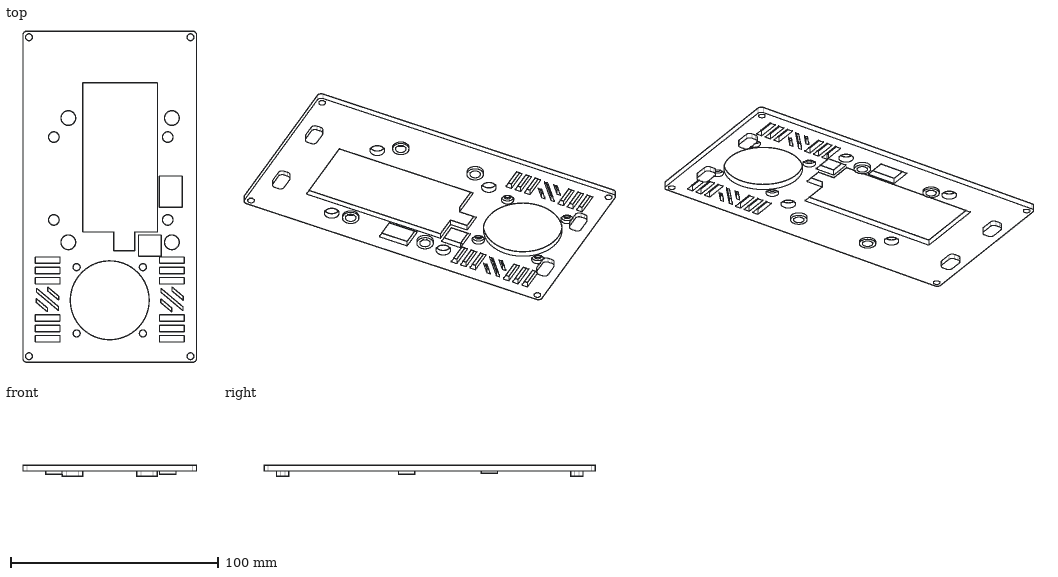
import cadquery as cq
import math

PLATE_WIDTH = 84.0
PLATE_LENGTH = 160.0
PLATE_THICKNESS = 3.0
PLATE_CORNER_RADIUS = 2.0

CORNER_HOLE_DIAMETER = 3.2
CORNER_HOLE_INSET = 3.0

BLOCK_WIDTH = 10.0
BLOCK_LENGTH = 6.0
BLOCK_HEIGHT = 2.5
BLOCK_CORNER_RADIUS = 2.0
BLOCK_SPACING_X = 36.0
BLOCK_SPACING_Y = 142.0

WINDOW_WIDTH = 36.0
WINDOW_LENGTH = 72.0
WINDOW_X = 5.0
WINDOW_Y = 19.0
NOTCH_WIDTH = 10.0
NOTCH_DEPTH = 9.0
NOTCH_X = 7.0

SWITCH_WIDTH = 11.0
SWITCH_LENGTH = 15.0
SWITCH_X = 29.5
SWITCH_Y = 2.5
SOCKET_WIDTH = 10.8
SOCKET_LENGTH = 10.2
SOCKET_X = 19.4
SOCKET_Y = -23.6

LARGE_HOLE_DIAMETER = 7.0
LARGE_HOLE_SPACING_X = 50.0
LARGE_HOLE_SPACING_Y = 60.0
LARGE_HOLE_CENTER_Y = 8.0

BOSS_HOLE_DIAMETER = 5.0
BOSS_DIAMETER = 8.0
BOSS_SPACING_X = 55.0
BOSS_SPACING_Y = 40.0
BOSS_CENTER_X = 0.5
BOSS_CENTER_Y = 8.8
UPPER_BOSS_HEIGHT = 1.0
LOWER_BOSS_HEIGHT = 1.5

FAN_Y = -50.0
FAN_DIAMETER = 38.0
FAN_HOLE_DIAMETER = 3.3
FAN_HOLE_SPACING = 32.0
FAN_COUNTERBORE_DIAMETER = 6.0
FAN_COUNTERBORE_DEPTH = 2.0

VENT_X = 30.0
VENT_Y = -49.6
SLOT_WIDTH = 11.75
SLOT_LENGTH = 3.0
SLOT_PITCH = 5.0
SLOTS_PER_ROW = 3
FIRST_SLOT_OFFSET = 9.0
SLANT_ANGLE = 40.0
SLANT_SIDE_HEIGHT = 1.8
LONG_SLANT_WIDTH = 10.5
SHORT_SLANT_WIDTH = 5.25
SHORT_SLANT_OFFSET_X = 2.75
SHORT_SLANT_OFFSET_Y = 2.8


def grid(spacing_x, spacing_y, center_x=0.0, center_y=0.0):
    """Four points at the corners of a rectangle."""
    return [
        (center_x + side_x * spacing_x / 2, center_y + side_y * spacing_y / 2)
        for side_x in (-1, 1)
        for side_y in (-1, 1)
    ]


def round_cutters(points, diameter):
    """Round cutters through the plate and everything below it."""
    depth = PLATE_THICKNESS + BLOCK_HEIGHT
    base = cq.Workplane("XY").workplane(offset=-BLOCK_HEIGHT)
    return base.pushPoints(points).circle(diameter / 2).extrude(depth)


def rectangular_cutters(points, width, length):
    """Rectangular cutters through the plate."""
    return cq.Workplane("XY").pushPoints(points).rect(width, length).extrude(PLATE_THICKNESS)


def make_plate():
    plate = cq.Workplane("XY").rect(PLATE_WIDTH, PLATE_LENGTH).extrude(PLATE_THICKNESS)
    return plate.edges("|Z").fillet(PLATE_CORNER_RADIUS)


def make_blocks():
    points = grid(BLOCK_SPACING_X, BLOCK_SPACING_Y)
    blocks = cq.Workplane("XY").pushPoints(points).rect(BLOCK_WIDTH, BLOCK_LENGTH).extrude(-BLOCK_HEIGHT)
    return blocks.edges("|Z").fillet(BLOCK_CORNER_RADIUS)


def make_bosses(center_y, height):
    points = [(BOSS_CENTER_X + side * BOSS_SPACING_X / 2, center_y) for side in (-1, 1)]
    return cq.Workplane("XY").pushPoints(points).circle(BOSS_DIAMETER / 2).extrude(-height)


def cut_window(body):
    window = rectangular_cutters([(WINDOW_X, WINDOW_Y)], WINDOW_WIDTH, WINDOW_LENGTH)
    notch_y = WINDOW_Y - WINDOW_LENGTH / 2 - NOTCH_DEPTH / 2
    notch = rectangular_cutters([(NOTCH_X, notch_y)], NOTCH_WIDTH, NOTCH_DEPTH)
    return body.cut(window).cut(notch)


def cut_side_openings(body):
    switch = rectangular_cutters([(SWITCH_X, SWITCH_Y)], SWITCH_WIDTH, SWITCH_LENGTH)
    socket = rectangular_cutters([(SOCKET_X, SOCKET_Y)], SOCKET_WIDTH, SOCKET_LENGTH)
    return body.cut(switch).cut(socket)


def cut_round_holes(body):
    corner_points = grid(PLATE_WIDTH - 2 * CORNER_HOLE_INSET, PLATE_LENGTH - 2 * CORNER_HOLE_INSET)
    large_points = grid(LARGE_HOLE_SPACING_X, LARGE_HOLE_SPACING_Y, WINDOW_X, LARGE_HOLE_CENTER_Y)
    boss_points = grid(BOSS_SPACING_X, BOSS_SPACING_Y, BOSS_CENTER_X, BOSS_CENTER_Y)
    body = body.cut(round_cutters(corner_points, CORNER_HOLE_DIAMETER))
    body = body.cut(round_cutters(large_points, LARGE_HOLE_DIAMETER))
    return body.cut(round_cutters(boss_points, BOSS_HOLE_DIAMETER))


def cut_fan(body):
    screw_points = grid(FAN_HOLE_SPACING, FAN_HOLE_SPACING, 0.0, FAN_Y)
    body = body.cut(round_cutters([(0.0, FAN_Y)], FAN_DIAMETER))
    body = body.cut(round_cutters(screw_points, FAN_HOLE_DIAMETER))
    counterbores = cq.Workplane("XY").pushPoints(screw_points).circle(FAN_COUNTERBORE_DIAMETER / 2)
    return body.cut(counterbores.extrude(FAN_COUNTERBORE_DEPTH))


def slanted_cutter(center_x, center_y, width):
    """Parallelogram with upright ends, falling towards +X."""
    half_width = width / 2
    half_drop = half_width * math.tan(math.radians(SLANT_ANGLE))
    half_side = SLANT_SIDE_HEIGHT / 2
    outline = [
        (center_x - half_width, center_y + half_drop + half_side),
        (center_x + half_width, center_y - half_drop + half_side),
        (center_x + half_width, center_y - half_drop - half_side),
        (center_x - half_width, center_y + half_drop - half_side),
    ]
    return cq.Workplane("XY").polyline(outline).close().extrude(PLATE_THICKNESS)


def cut_vents(body, vent_x):
    slot_offsets = [FIRST_SLOT_OFFSET + row * SLOT_PITCH for row in range(SLOTS_PER_ROW)]
    slot_points = [(vent_x, VENT_Y + side * offset) for side in (-1, 1) for offset in slot_offsets]
    body = body.cut(rectangular_cutters(slot_points, SLOT_WIDTH, SLOT_LENGTH))
    body = body.cut(slanted_cutter(vent_x, VENT_Y, LONG_SLANT_WIDTH))
    for side in (-1, 1):
        slant_x = vent_x + side * SHORT_SLANT_OFFSET_X
        slant_y = VENT_Y + side * SHORT_SLANT_OFFSET_Y
        body = body.cut(slanted_cutter(slant_x, slant_y, SHORT_SLANT_WIDTH))
    return body


result = make_plate().union(make_blocks())
result = result.union(make_bosses(BOSS_CENTER_Y + BOSS_SPACING_Y / 2, UPPER_BOSS_HEIGHT))
result = result.union(make_bosses(BOSS_CENTER_Y - BOSS_SPACING_Y / 2, LOWER_BOSS_HEIGHT))
result = cut_window(result)
result = cut_side_openings(result)
result = cut_round_holes(result)
result = cut_fan(result)
for vent_side in (-1, 1):
    result = cut_vents(result, vent_side * VENT_X)